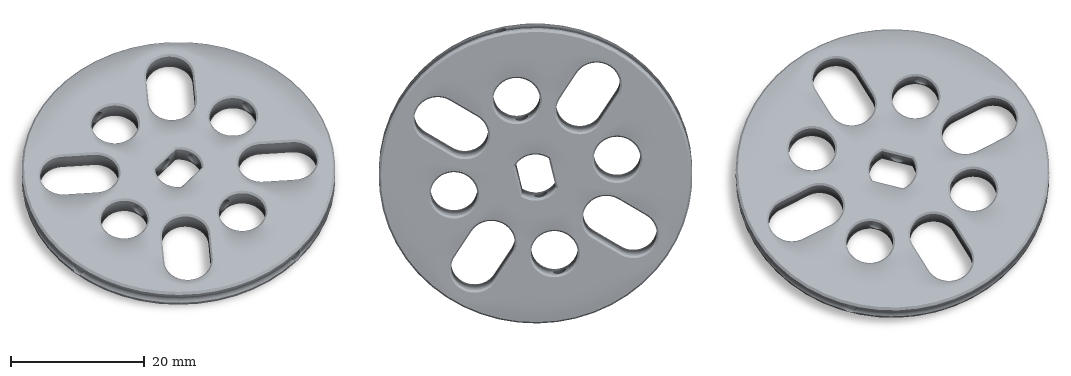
import cadquery as cq

disc_diameter = 46.9
thickness = 3.15
edge_chamfer = 0.35

groove_width = 1.5
groove_depth = 0.9

hole_diameter = 7.0
opening_chamfer = 0.3
hole_pitch_radius = 12.5
slot_inner_end_radius = 12.45
slot_outer_end_radius = 17.25
slot_angle = 45
opening_count = 4
bore_flat_width = 5.15

cross_hole_diameter = 2.0
drill_seam_angle = 30

disc_radius = disc_diameter / 2
half_thickness = thickness / 2


def grooved_disc():
    """Disc centred on the origin with chamfered edges and a rim groove."""
    rim_half_height = half_thickness - edge_chamfer
    face_radius = disc_radius - edge_chamfer
    profile = (
        cq.Workplane("XZ")
        .moveTo(0, -half_thickness)
        .lineTo(face_radius, -half_thickness)
        .lineTo(disc_radius, -rim_half_height)
        .lineTo(disc_radius, -groove_width / 2)
        .lineTo(disc_radius - groove_depth, 0)
        .lineTo(disc_radius, groove_width / 2)
        .lineTo(disc_radius, rim_half_height)
        .lineTo(face_radius, half_thickness)
        .lineTo(0, half_thickness)
        .close()
    )
    return profile.revolve(360, (0, 0, 0), (0, 1, 0))


def double_d_bore():
    """Round bore with two flats facing along X."""
    round_bore = cq.Workplane("XY").circle(hole_diameter / 2).extrude(half_thickness, both=True)
    flats = cq.Workplane("XY").box(bore_flat_width, disc_diameter, thickness)
    return round_bore.intersect(flats)


def face_openings():
    """Bore, four round holes on the axes and four radial slots between them."""
    slot_straight_length = slot_outer_end_radius - slot_inner_end_radius
    slot_middle_radius = (slot_outer_end_radius + slot_inner_end_radius) / 2
    holes = (
        cq.Workplane("XY")
        .polarArray(hole_pitch_radius, 0, 360, opening_count)
        .circle(hole_diameter / 2)
        .extrude(half_thickness, both=True)
    )
    slots = (
        cq.Workplane("XY")
        .polarArray(slot_middle_radius, slot_angle, 360, opening_count)
        .slot2D(slot_straight_length + hole_diameter, hole_diameter)
        .extrude(half_thickness, both=True)
    )
    return double_d_bore().union(holes).union(slots)


def cross_holes():
    """Two holes through the whole disc at mid-thickness, along X and Y."""
    drill = cq.Workplane("YZ").circle(cross_hole_diameter / 2).extrude(disc_diameter, both=True)
    along_x = drill.rotate((0, 0, 0), (1, 0, 0), drill_seam_angle)
    along_y = along_x.rotate((0, 0, 0), (0, 0, 1), 90)
    return along_x.union(along_y)


def chamfer_opening_mouths(plate):
    """Chamfer every opening on both flat faces; their mouths are the inner wires."""
    mouth_edges = [
        edge
        for face in plate.faces("|Z").vals()
        for wire in face.innerWires()
        for edge in wire.Edges()
    ]
    return plate.newObject(mouth_edges).chamfer(opening_chamfer)


open_disc = grooved_disc().cut(face_openings())
result = chamfer_opening_mouths(open_disc).cut(cross_holes())